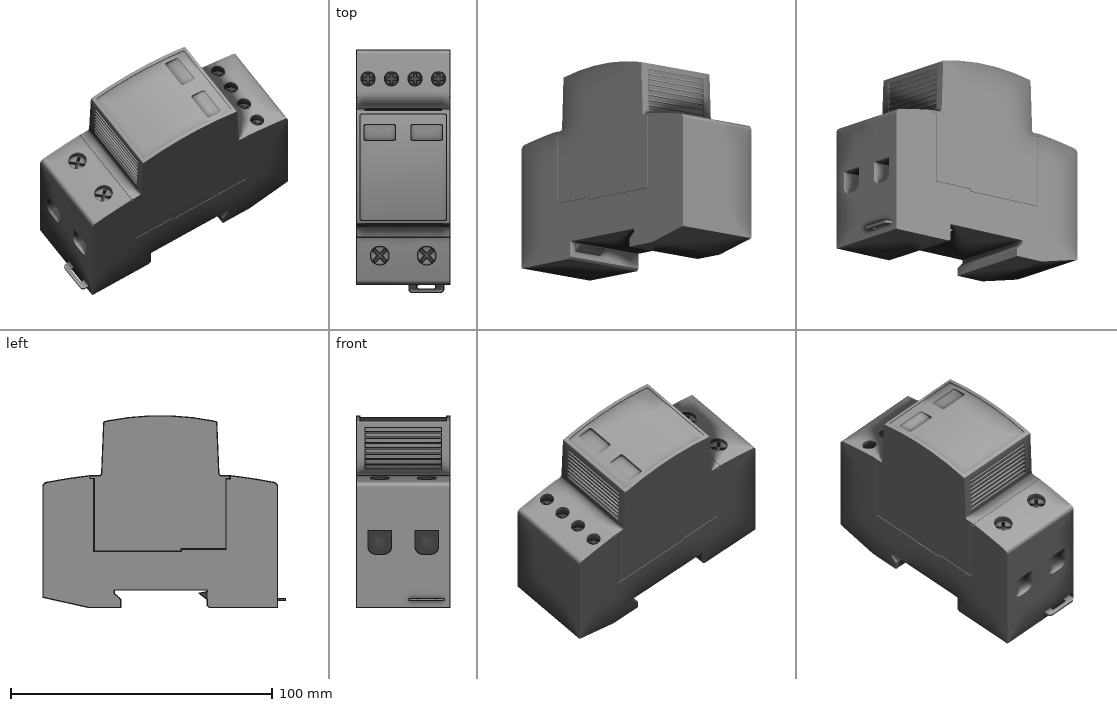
import cadquery as cq
import math


width = 36.0
pole_pitch = width / 2
total_length = 93.0
tab_length = 3.1
half_length = (total_length - tab_length) / 2
height = 73.5
corner_radius = 1.9

shoulder_z = 50.5
shoulder_start = 26.9
shoulder_radius = 232.5

heel_z = 3.9
heel_y = 27.4
rail_roof_z = 6.7
hook_y = 15.1
hook_root_y = 17.6
hook_tip_z = 3.1
hook_root_z = 5.4
rail_front_y = -17.95
rail_chamfer = 0.8

dome_edge_y = 21.7
dome_edge_z = 71.1
dome_base_y = 22.5
dome_edge_fillet = 0.6
dome_base_fillet = 0.9
dome_rise = height - dome_edge_z
dome_radius = (dome_edge_y**2 + dome_rise**2) / (2 * dome_rise)
dome_center_z = height - dome_radius

label_width = 33.3
label_length = 40.6
label_depth = 0.6
label_corner = 0.7
window_width = 12.1
window_length = 6.1
window_y = 13.3
window_floor_z = 71.1
window_corner = 0.8

vent_width = 29.4
vent_top_z = 68.9
vent_height = 1.6
vent_pitch = 2.0
vent_count = 8
vent_floor_y = 21.5

seam_depth = 0.3
seam_wide = 0.3
seam_tight = 0.1
module_back_y = 25.2
module_front_y = -25.1
module_bottom_z = 21.7
module_step_z = 22.6
module_step_y = -7.9
lip_z = 49.5
lip_groove = 0.2
module_lip_y = lip_groove - shoulder_start

screw_y = 33.85
front_screw_diameter = 7.2
front_screw_z = 47.4
front_cross_length = 6.6
front_cross_width = 1.3
front_cross_depth = 2.8
front_cross_angle = 45
back_screw_count = 4
back_screw_diameter = 5.4
back_screw_z = 45.6
back_cross_length = 4.1
back_cross_width = 1.2
back_cross_depth = 0.9
back_cross_angle = 0

wire_width = 9.0
wire_top_z = 29.5
wire_bottom_z = 20.4
wire_corner = 3.0
wire_depth = 11.2

latch_x = 8.8
latch_width = 13.4
tab_thickness = 0.8
tab_z = 2.6
tab_corner = 1.4
tab_slot_width = 7.2
tab_slot_corner = 0.65
tab_slot_end_y = -46.6
latch_tip_y = -14.9
latch_tip_z = 5.5
latch_top_z = 6.1
latch_bottom_z = 3.1

cut_top = height + 0.9


def prism(points, x_center, x_width):
    """Extrude a closed (Y, Z) outline symmetrically about x_center."""
    outline = cq.Workplane("YZ").polyline(points).close()
    return outline.extrude(x_width / 2, both=True).translate((x_center, 0, 0))


def block(x_size, y_size, z_bottom, z_top, x, y):
    """Upright box centred on (x, y)."""
    return cq.Workplane("XY", origin=(x, y, z_bottom)).rect(x_size, y_size).extrude(z_top - z_bottom)


def dome_cylinder(depth):
    """Cylinder lying along X whose surface is the given depth below the dome."""
    profile = cq.Workplane("YZ", origin=(0, 0, dome_center_z)).circle(dome_radius - depth)
    return profile.extrude(width, both=True)


def shoulder_points():
    """Middle and outer end (Y, Z) of the shoulder arc, on the +Y side."""
    center_z = shoulder_z - math.sqrt(shoulder_radius**2 - shoulder_start**2)
    middle_y = (shoulder_start + half_length) / 2
    return [(y, center_z + math.sqrt(shoulder_radius**2 - y**2)) for y in (middle_y, half_length)]


def round_edges(solid, y, z, radius):
    """Fillet the pair of long edges running along X through (+y, z) and (-y, z)."""
    for side in (1, -1):
        solid = solid.edges(cq.NearestToPointSelector((0, side * y, z))).fillet(radius)
    return solid


def housing():
    """Full side outline extruded over the width, with its long edges rounded."""
    middle, end = shoulder_points()
    body = (
        cq.Workplane("YZ")
        .moveTo(half_length, heel_z)
        .lineTo(*end)
        .threePointArc(middle, (shoulder_start, shoulder_z))
        .lineTo(dome_base_y, shoulder_z)
        .lineTo(dome_edge_y, dome_edge_z)
        .threePointArc((0, height), (-dome_edge_y, dome_edge_z))
        .lineTo(-dome_base_y, shoulder_z)
        .lineTo(-shoulder_start, shoulder_z)
        .threePointArc((-middle[0], middle[1]), (-end[0], end[1]))
        .lineTo(-half_length, 0)
        .lineTo(rail_front_y - rail_chamfer, 0)
        .lineTo(rail_front_y, rail_chamfer)
        .lineTo(rail_front_y, rail_roof_z)
        .lineTo(hook_root_y, rail_roof_z)
        .lineTo(hook_root_y, hook_root_z)
        .lineTo(hook_y, hook_tip_z)
        .lineTo(hook_y, 0)
        .lineTo(heel_y, 0)
        .close()
        .extrude(width / 2, both=True)
    )

    body = round_edges(body, half_length, end[1], corner_radius)
    body = round_edges(body, dome_edge_y, dome_edge_z, dome_edge_fillet)
    return round_edges(body, dome_base_y, shoulder_z, dome_base_fillet)


def label_cutter():
    """Rounded recess whose floor follows the dome at a constant depth."""
    column = block(label_width, label_length, shoulder_z, cut_top, 0, 0)
    return column.edges("|Z").fillet(label_corner).cut(dome_cylinder(label_depth))


def window_cutter(x):
    """Rounded indicator window with a flat floor."""
    column = block(window_width, window_length, window_floor_z, cut_top, x, window_y)
    return column.edges("|Z").fillet(window_corner)


def vent_cutters():
    """Horizontal slots in both sloping walls, all ending on one vertical floor."""
    cutters = cq.Workplane("XY")
    depth = dome_base_y - vent_floor_y
    for side in (1, -1):
        for index in range(vent_count):
            top = vent_top_z - index * vent_pitch
            y = side * (vent_floor_y + depth / 2)
            cutters = cutters.add(block(vent_width, depth, top - vent_height, top, 0, y))
    return cutters.combine()


def module_outline(wide, tight, groove):
    """Module side outline, enlarged by the seam gaps."""
    front_lip_y = module_lip_y - groove
    back_lip_y = shoulder_start + tight
    return [
        (back_lip_y, shoulder_z),
        (back_lip_y, lip_z - tight),
        (module_back_y + wide, lip_z - tight),
        (module_back_y + wide, module_bottom_z - wide),
        (module_step_y - wide, module_bottom_z - wide),
        (module_step_y - wide, module_step_z - wide),
        (module_front_y - tight, module_step_z - wide),
        (module_front_y - tight, lip_z - groove),
        (front_lip_y, lip_z - groove),
        (front_lip_y, shoulder_z),
    ]


def seam_cutter():
    """Shallow seam on both sides, plus the groove across the front shoulder."""
    ring = prism(module_outline(seam_wide, seam_tight, lip_groove), 0, width)
    ring = ring.cut(prism(module_outline(0, 0, 0), 0, width))
    core_width = width - 2 * seam_depth
    sides = ring.cut(block(core_width, 2 * half_length, 0, height, 0, 0))
    groove_y = module_lip_y - lip_groove / 2
    return sides.union(block(width, lip_groove, lip_z, shoulder_z, 0, groove_y))


def screw_cutter(x, y, diameter, floor_z, cross_length, cross_width, cross_depth, angle):
    """Screw access hole ending on a screw head with a cross recess."""
    hole = cq.Workplane("XY", origin=(x, y, floor_z)).circle(diameter / 2).extrude(cut_top - floor_z)
    cross_bottom = floor_z - cross_depth
    for turn in (angle, angle + 90):
        arm = block(cross_length, cross_width, cross_bottom, floor_z, 0, 0)
        hole = hole.union(arm.rotate((0, 0, 0), (0, 0, 1), turn).translate((x, y, 0)))
    return hole


def wire_cutter(x):
    """Blind wire opening in the front wall with rounded lower corners."""
    opening = block(wire_width, wire_depth, wire_bottom_z, wire_top_z, x, wire_depth / 2 - half_length)
    return opening.edges("|Y and <Z").fillet(wire_corner)


def latch():
    """Wedge that snaps under the rail, and the pull tab in front."""
    wedge = prism(
        [
            (rail_front_y, latch_top_z),
            (latch_tip_y, latch_tip_z),
            (rail_front_y, latch_bottom_z),
        ],
        latch_x,
        latch_width,
    )
    tab_top = tab_z + tab_thickness
    tab_y = -half_length - tab_length / 2
    tab = block(latch_width, tab_length, tab_z, tab_top, latch_x, tab_y)
    tab = tab.edges("|Z and <Y").fillet(tab_corner)
    slot_length = -half_length - tab_slot_end_y
    slot_y = tab_slot_end_y + slot_length / 2
    slot = block(tab_slot_width, slot_length, tab_z, tab_top, latch_x, slot_y)
    slot = slot.edges("|Z").fillet(tab_slot_corner)
    return wedge.union(tab.cut(slot))


result = housing()
result = result.cut(label_cutter())
result = result.cut(vent_cutters())
result = result.cut(seam_cutter())

for pole_x in (-pole_pitch / 2, pole_pitch / 2):
    result = result.cut(window_cutter(pole_x))
    result = result.cut(
        screw_cutter(
            pole_x, -screw_y, front_screw_diameter, front_screw_z,
            front_cross_length, front_cross_width, front_cross_depth, front_cross_angle,
        )
    )
    result = result.cut(wire_cutter(pole_x))

for index in range(back_screw_count):
    screw_x = (index - (back_screw_count - 1) / 2) * width / back_screw_count
    result = result.cut(
        screw_cutter(
            screw_x, screw_y, back_screw_diameter, back_screw_z,
            back_cross_length, back_cross_width, back_cross_depth, back_cross_angle,
        )
    )

result = result.union(latch())